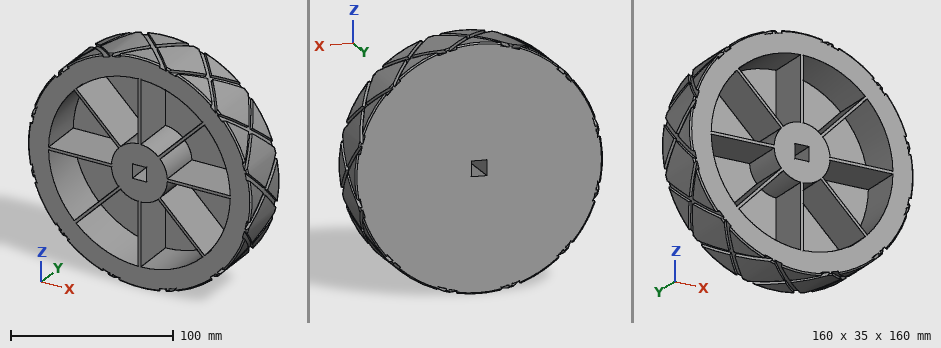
import cadquery as cq
import math

wheel_radius = 80.0
wheel_width = 35.0
edge_chamfer = 1.0

rim_inner_radius = 65.0
hub_radius = 20.0
spoke_count = 8
spoke_thickness = 2.0
back_wall = 5.0
recess_depth = wheel_width - back_wall

axle_square = 10.0

groove_pairs = 12
groove_depth = 2.0
groove_width = 3.5
groove_helix = 45.0
cutter_overrun = 1.0

front_y = -wheel_width / 2
back_y = wheel_width / 2
groove_floor_radius = wheel_radius - groove_depth


def plane_at(y):
    """Plane square to the axle, with local X along +X, local Y along +Z and its normal along -Y."""
    return cq.Workplane("XZ", origin=(0, y, 0))


def make_body():
    disc = plane_at(back_y).circle(wheel_radius).extrude(wheel_width)
    return disc.edges("%CIRCLE").chamfer(edge_chamfer)


def make_recess():
    """Ring between hub and rim, divided by the radial spokes."""
    floor_y = front_y + recess_depth
    ring = plane_at(floor_y).circle(rim_inner_radius).circle(hub_radius).extrude(recess_depth)
    spoke_bars = plane_at(floor_y).rect(2 * wheel_radius, spoke_thickness).extrude(recess_depth)
    bar_count = spoke_count // 2
    for i in range(bar_count):
        turn = i * 180.0 / bar_count
        ring = ring.cut(spoke_bars.rotate((0, 0, 0), (0, 1, 0), turn))
    return ring


def make_axle_hole():
    return plane_at(back_y).rect(axle_square, axle_square).extrude(wheel_width)


def make_groove(hand):
    """Cutter for one helical groove crossing the top of the wheel at mid width; hand is +1 or -1."""
    helix = math.radians(groove_helix)
    length = wheel_width + 2 * cutter_overrun
    twist = math.degrees(length * math.tan(helix) / wheel_radius)
    half_angle = groove_width / math.cos(helix) / wheel_radius / 2
    inner_radius = groove_floor_radius - cutter_overrun
    outer_radius = wheel_radius + cutter_overrun

    def point(radius, angle):
        return (radius * math.sin(angle), radius * math.cos(angle))

    corners = [
        point(inner_radius, -half_angle),
        point(inner_radius, half_angle),
        point(outer_radius, half_angle),
        point(outer_radius, -half_angle),
    ]
    profile = plane_at(length / 2).polyline(corners).close()
    groove = profile.twistExtrude(length, hand * twist)
    groove = groove.rotate((0, 0, 0), (0, 1, 0), hand * twist / 2)
    floor = plane_at(length / 2).circle(groove_floor_radius).extrude(length)
    return groove.cut(floor)


def cut_tread(wheel):
    """Split the outer surface into tread blocks."""
    for hand in (1, -1):
        groove = make_groove(hand)
        for i in range(groove_pairs):
            wheel = wheel.cut(groove.rotate((0, 0, 0), (0, 1, 0), i * 360.0 / groove_pairs))
    return wheel


wheel = cut_tread(make_body())
result = wheel.cut(make_recess()).cut(make_axle_hole())